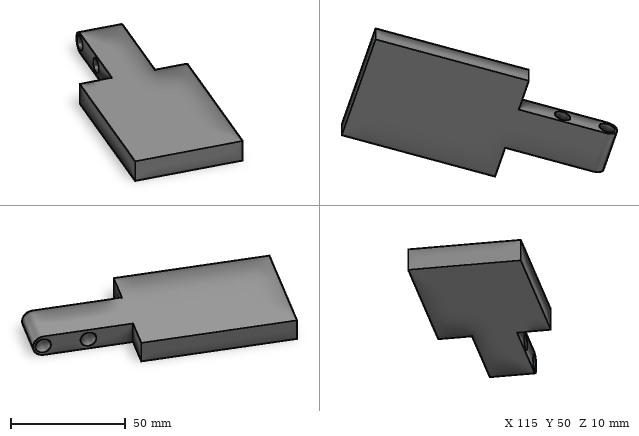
import cadquery as cq

total_length = 115.0
thickness = 10.0
plate_width = 50.0
arm_length = 45.0
arm_width = 20.0
end_radius = thickness / 2

hole_diameter = 7.0
tip_hole_distance = 4.6
hole_spacing = 20.4

plate_length = total_length - arm_length


def make_plate():
    """Rectangular plate starting where the arm ends."""
    return (
        cq.Workplane("XY")
        .box(plate_length, plate_width, thickness, centered=(False, True, True))
        .translate((arm_length, 0, 0))
    )


def make_arm():
    """Arm with its tip at X = 0, rounded about the Y axis."""
    return (
        cq.Workplane("XZ")
        .moveTo(arm_length, -end_radius)
        .lineTo(end_radius, -end_radius)
        .threePointArc((0, 0), (end_radius, end_radius))
        .lineTo(arm_length, end_radius)
        .close()
        .extrude(arm_width / 2, both=True)
    )


def make_cross_holes():
    """Cylinders that pass through the arm along Y."""
    hole_positions = [(tip_hole_distance + i * hole_spacing, 0) for i in range(2)]
    return (
        cq.Workplane("XZ")
        .pushPoints(hole_positions)
        .circle(hole_diameter / 2)
        .extrude(arm_width / 2, both=True)
    )


result = make_plate().union(make_arm()).cut(make_cross_holes())